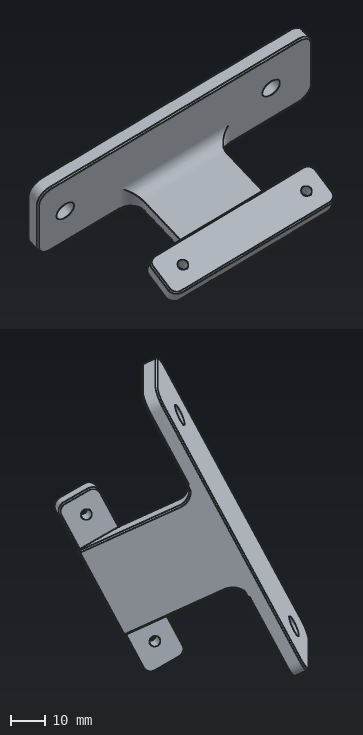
import cadquery as cq
import math

plate_length = 100.0
plate_height = 30.0
plate_thickness = 5.0
plate_corner_radius = 5.0
plate_hole_diameter = 6.4
plate_hole_spacing = 75.0
plate_hole_shift = -2.5

arm_width = 30.0
arm_thickness = 5.0
root_radius = 5.0

bar_length = 60.0
bar_width = 14.0
bar_thickness = 6.0
bar_corner_radius = 3.0
bar_tilt = 15.0
bar_hole_diameter = 3.2
bar_hole_spacing = 45.0
bar_hole_shift = 0.8
bar_heel_z = arm_thickness

edge_chamfer = 0.5
overall_depth = 44.3

tilt = math.radians(bar_tilt)
bar_reach = bar_width * math.cos(tilt) + (bar_thickness - edge_chamfer) * math.sin(tilt)
bar_heel_x = overall_depth - bar_reach
bar_toe_x = bar_heel_x + bar_width * math.cos(tilt)
bar_toe_z = bar_heel_z - bar_width * math.sin(tilt)
arm_end_x = bar_toe_x - bar_toe_z * math.tan(tilt)


def make_plate():
    return (
        cq.Workplane("YZ")
        .center(0, plate_height / 2)
        .rect(plate_length, plate_height)
        .extrude(plate_thickness)
        .edges("|X")
        .fillet(plate_corner_radius)
        .faces("<X or >X")
        .chamfer(edge_chamfer)
    )


def make_arm():
    root_x = plate_thickness
    straight_x = root_x + root_radius
    half_width = arm_width / 2
    arc_offset = root_radius * (1 - math.sqrt(0.5))

    side = (
        cq.Workplane("XZ")
        .moveTo(root_x, 0)
        .lineTo(arm_end_x, 0)
        .lineTo(bar_toe_x, bar_toe_z)
        .lineTo(bar_heel_x + bar_thickness * math.sin(tilt), arm_thickness)
        .lineTo(straight_x, arm_thickness)
        .threePointArc(
            (root_x + arc_offset, arm_thickness + arc_offset),
            (root_x, arm_thickness + root_radius),
        )
        .close()
        .extrude(plate_length / 2, both=True)
    )
    plan = (
        cq.Workplane("XY")
        .moveTo(root_x, -half_width - root_radius)
        .threePointArc(
            (root_x + arc_offset, -half_width - arc_offset),
            (straight_x, -half_width),
        )
        .lineTo(bar_toe_x, -half_width)
        .lineTo(bar_toe_x, half_width)
        .lineTo(straight_x, half_width)
        .threePointArc(
            (root_x + arc_offset, half_width + arc_offset),
            (root_x, half_width + root_radius),
        )
        .close()
        .extrude(plate_height)
    )
    tongue = cq.Workplane("XY").box(
        edge_chamfer,
        arm_width + 2 * root_radius,
        arm_thickness + root_radius,
        centered=(False, True, False),
    ).translate((root_x - edge_chamfer, 0, 0))
    arm = side.intersect(plan)
    lower_edges = arm.faces("<Z").edges("not(|Y)").vals()
    end_edges = arm.faces(">X").edges("not(|Y)").vals()
    arm = arm.newObject(lower_edges + end_edges).chamfer(edge_chamfer)
    return arm.union(tongue)


def bar_plane():
    return cq.Plane(
        origin=(bar_heel_x, 0, bar_heel_z),
        xDir=(math.cos(tilt), 0, -math.sin(tilt)),
        normal=(math.sin(tilt), 0, math.cos(tilt)),
    )


def make_bar():
    bar = (
        cq.Workplane("XY")
        .center(bar_width / 2, 0)
        .rect(bar_width, bar_length)
        .extrude(bar_thickness)
        .edges("|Z")
        .fillet(bar_corner_radius)
        .faces("<Z or >Z")
        .chamfer(edge_chamfer)
    )
    return cq.Workplane(obj=bar.val().moved(cq.Location(bar_plane())))


plate_holes = (
    cq.Workplane("YZ")
    .pushPoints([(plate_hole_shift + side * plate_hole_spacing / 2, plate_height / 2) for side in (-1, 1)])
    .circle(plate_hole_diameter / 2)
    .extrude(plate_thickness)
)
bar_holes = (
    cq.Workplane(bar_plane())
    .pushPoints([(bar_width / 2, bar_hole_shift + side * bar_hole_spacing / 2) for side in (-1, 1)])
    .circle(bar_hole_diameter / 2)
    .extrude(bar_thickness)
)

result = make_plate().union(make_arm()).union(make_bar()).cut(plate_holes).cut(bar_holes)